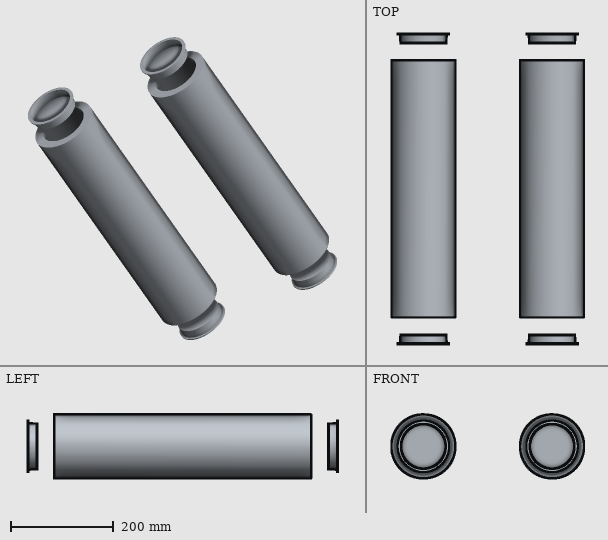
import cadquery as cq


overall_length = 604.0
roller_spacing = 250.0
roller_centres = [-roller_spacing / 2, roller_spacing / 2]

tube_diameter = 125.0
tube_bore = 90.5
tube_length = 500.0
front_edge_fillet = 3.0

flange_diameter = 100.0
flange_thickness = 2.5
cup_mouth_diameter = 91.0
cup_floor_diameter = 89.5
cap_height = 19.5
cap_wall = 2.0


def make_tube(x):
    """Hollow roller, with only its -Y outer edge rounded."""
    blank = (
        cq.Workplane("XZ", origin=(x, tube_length / 2, 0))
        .circle(tube_diameter / 2)
        .extrude(tube_length)
        .faces("<Y")
        .edges()
        .fillet(front_edge_fillet)
    )
    bore = (
        cq.Workplane("XZ", origin=(x, tube_length / 2, 0))
        .circle(tube_bore / 2)
        .extrude(tube_length)
    )
    return blank.cut(bore)


def make_front_cap(x):
    """Cup with its open mouth and flange facing -Y and its floor toward the roller."""
    flange_radius = flange_diameter / 2
    mouth_radius = cup_mouth_diameter / 2
    floor_radius = cup_floor_diameter / 2
    mouth_y = -overall_length / 2
    flange_back_y = mouth_y + flange_thickness
    floor_back_y = mouth_y + cap_height
    floor_front_y = floor_back_y - cap_wall
    profile = (
        cq.Workplane("XY")
        .moveTo(0, floor_back_y)
        .lineTo(floor_radius, floor_back_y)
        .lineTo(mouth_radius, flange_back_y)
        .lineTo(flange_radius, flange_back_y)
        .lineTo(flange_radius, mouth_y)
        .lineTo(mouth_radius - cap_wall, mouth_y)
        .lineTo(floor_radius - cap_wall, floor_front_y)
        .lineTo(0, floor_front_y)
        .close()
    )
    return profile.revolve(360, (0, 0, 0), (0, 1, 0)).translate((x, 0, 0))


tubes = []
caps = []
for centre in roller_centres:
    front_cap = make_front_cap(centre)
    tubes.append(make_tube(centre).val())
    caps.append(front_cap.val())
    caps.append(front_cap.mirror("XZ").val())

result = cq.Compound.makeCompound([*tubes, *caps])